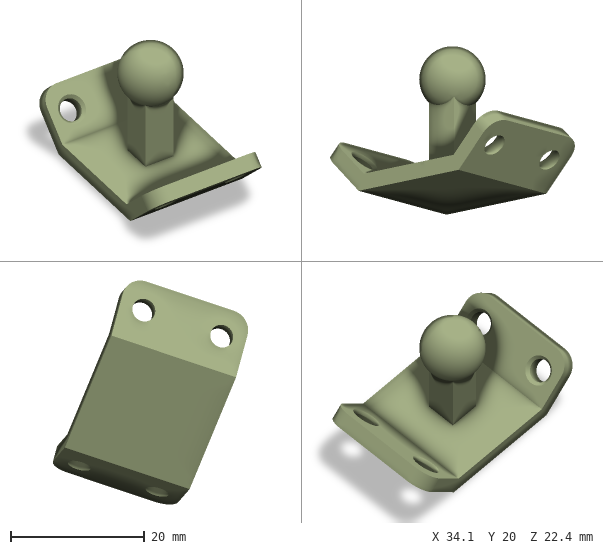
import cadquery as cq
import math

depth = 20.0
base_width = 20.0
wing_length = 10.0
thickness = 2.5
bend_angle = 45
corner_radius = 3.0
post_width = 5.0
ball_diameter = 10.0
overall_height = 22.45
hole_diameter = 3.55
countersink_diameter = 4.57
countersink_depth = 0.5
hole_spacing = 12.5

slope = math.radians(bend_angle)
bend_setback = thickness * math.tan(slope / 2)
inner_length = wing_length - bend_setback
inner_half_width = base_width / 2 - bend_setback
ball_height = overall_height - ball_diameter / 2


def wing(side):
    """Sloping wing on side +1 or -1, with rounded corners and countersunk holes.

    The work plane lies on the inner face: local X climbs the slope from the bend.
    """
    inner_face = cq.Plane(
        origin=(side * inner_half_width, 0, thickness),
        xDir=(side * math.cos(slope), 0, math.sin(slope)),
        normal=(-side * math.sin(slope), 0, math.cos(slope)),
    )
    half_depth = depth / 2
    corner_start = inner_length - corner_radius
    plate = (
        cq.Workplane(inner_face)
        .moveTo(0, -half_depth)
        .lineTo(corner_start, -half_depth)
        .radiusArc((inner_length, corner_radius - half_depth), -corner_radius)
        .lineTo(inner_length, half_depth - corner_radius)
        .radiusArc((corner_start, half_depth), -corner_radius)
        .lineTo(0, half_depth)
        .close()
        .extrude(-thickness)
    )
    hole_centers = [(inner_length / 2, y) for y in (-hole_spacing / 2, hole_spacing / 2)]
    holes = cq.Workplane(inner_face).pushPoints(hole_centers)
    holes = holes.circle(hole_diameter / 2).extrude(-thickness)
    for center in hole_centers:
        cone = cq.Solid.makeCone(
            countersink_diameter / 2, hole_diameter / 2, countersink_depth,
            pnt=inner_face.toWorldCoords(center), dir=-inner_face.zDir,
        )
        holes = holes.union(cq.Workplane(cone))
    return plate.cut(holes)


bend_foot = inner_half_width + thickness * math.sin(slope)
bend_foot_height = thickness * (1 - math.cos(slope))
base = (
    cq.Workplane("XZ")
    .polyline([
        (-base_width / 2, 0),
        (base_width / 2, 0),
        (bend_foot, bend_foot_height),
        (inner_half_width, thickness),
        (-inner_half_width, thickness),
        (-bend_foot, bend_foot_height),
    ])
    .close()
    .extrude(depth / 2, both=True)
)

post = cq.Workplane("XY").rect(post_width, post_width).extrude(ball_height)
ball = cq.Workplane("XY").sphere(ball_diameter / 2).translate((0, 0, ball_height))

result = base.union(wing(1)).union(wing(-1)).union(post).union(ball)